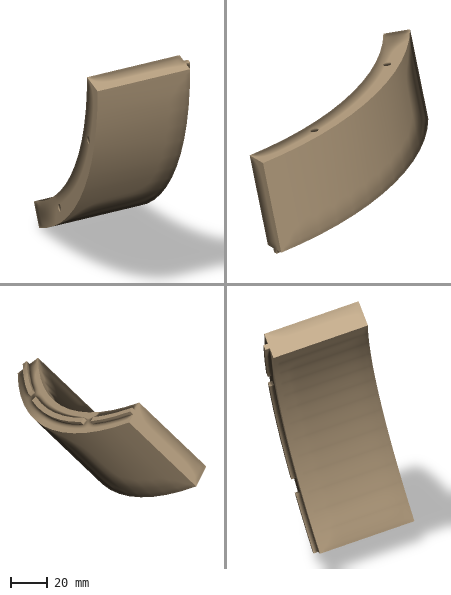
import cadquery as cq
import math

sweep_angle = 60.0
overall_height = 142.9
outer_radius = overall_height / math.sin(math.radians(sweep_angle))
wall = 15.0
inner_radius = outer_radius - wall
middle_radius = outer_radius - wall / 2
body_length = 55.5

rib_width = 3.0
rib_height = 2.6
rib_gap = 10.0

hole_diameter = 4.5
hole_depth = 15.0
station_angles = (sweep_angle / 4, sweep_angle * 3 / 4)


def point_at(radius, angle):
    """XZ point at an angle in degrees measured downward from +X."""
    turn = math.radians(angle)
    return (radius * math.cos(turn), -radius * math.sin(turn))


def arc_block(inside, outside, start, end, y_start, length):
    """Ring sector with radial ends, extruded toward +Y."""
    middle = (start + end) / 2
    return (
        cq.Workplane("XZ", origin=(0, y_start, 0))
        .moveTo(*point_at(inside, start))
        .lineTo(*point_at(outside, start))
        .threePointArc(point_at(outside, middle), point_at(outside, end))
        .lineTo(*point_at(inside, end))
        .threePointArc(point_at(inside, middle), point_at(inside, start))
        .close()
        .extrude(-length)
    )


result = arc_block(inner_radius, outer_radius, 0, sweep_angle, 0, body_length)

half_gap_angle = math.degrees(rib_gap / middle_radius) / 2
rib_starts = [0] + [angle + half_gap_angle for angle in station_angles]
rib_ends = [angle - half_gap_angle for angle in station_angles] + [sweep_angle]
for rib_start, rib_end in zip(rib_starts, rib_ends):
    rib = arc_block(
        middle_radius - rib_width / 2,
        middle_radius + rib_width / 2,
        rib_start,
        rib_end,
        body_length,
        rib_height,
    )
    result = result.union(rib)

hole_centres = [point_at(middle_radius, angle) for angle in station_angles]
holes = cq.Workplane("XZ").pushPoints(hole_centres).circle(hole_diameter / 2).extrude(-hole_depth)
result = result.cut(holes)